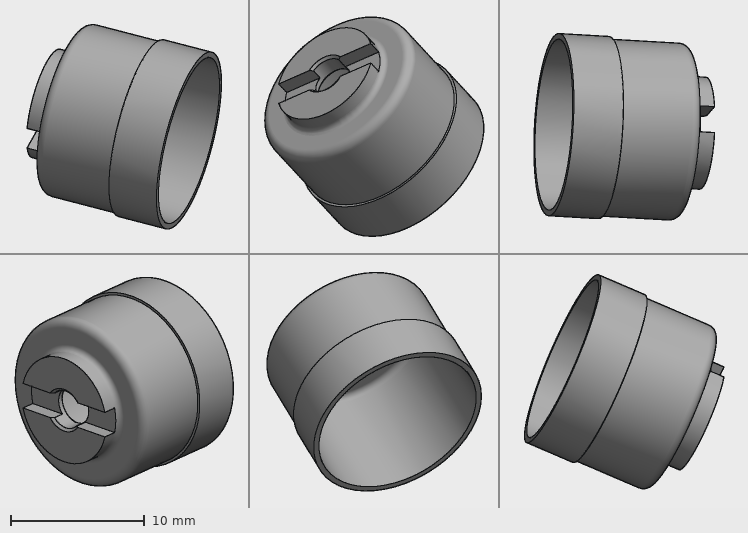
import cadquery as cq

total_length = 11.4
slot_depth = 1.1
body_start = 1.55
floor_position = 1.7
collar_length = 3.8

collar_radius = 6.83
body_radius = 6.63
boss_radius = 4.2
bore_radius = 1.5
cavity_radius = 6.4

body_round = 0.7
boss_fillet = body_start - slot_depth
slot_width = 2.0
bore_chamfer = 0.2

collar_start = total_length - collar_length
wall_thickness = body_radius - cavity_radius
cavity_round = body_round - wall_thickness


def axial_cylinder(radius, start, end):
    """Cylinder along X between two axial stations."""
    return cq.Workplane("YZ", origin=(start, 0, 0)).circle(radius).extrude(end - start)


def make_body():
    """Round-nosed body with a slightly larger collar at the +X end."""
    body = axial_cylinder(body_radius, body_start, total_length)
    body = body.faces("<X").edges().fillet(body_round)
    return body.union(axial_cylinder(collar_radius, collar_start, total_length))


def make_boss():
    """Boss on the -X end, blending into the body with a concave fillet."""
    return (
        cq.Workplane("XY")
        .lineTo(0, boss_radius)
        .lineTo(slot_depth, boss_radius)
        .radiusArc((body_start, boss_radius + boss_fillet), -boss_fillet)
        .lineTo(floor_position, boss_radius + boss_fillet)
        .lineTo(floor_position, 0)
        .close()
        .revolve(360, (0, 0, 0), (1, 0, 0))
    )


def make_slot():
    """Driver slot running along Y across the whole boss."""
    return cq.Workplane("XY").box(
        slot_depth, 2 * body_radius, slot_width, centered=(False, True, True)
    )


def make_cavity():
    """Round-cornered cavity open at the +X end, leaving a thin-walled cup."""
    cavity = axial_cylinder(cavity_radius, floor_position, total_length)
    return cavity.faces("<X").edges().fillet(cavity_round)


def make_bore():
    """Bore through the floor of the cup, chamfered at both ends."""
    mouth_radius = bore_radius + bore_chamfer
    return (
        cq.Workplane("XY")
        .lineTo(0, mouth_radius)
        .lineTo(bore_chamfer, bore_radius)
        .lineTo(floor_position - bore_chamfer, bore_radius)
        .lineTo(floor_position, mouth_radius)
        .lineTo(floor_position, 0)
        .close()
        .revolve(360, (0, 0, 0), (1, 0, 0))
    )


outer = make_body().union(make_boss())
result = outer.cut(make_cavity()).cut(make_slot()).cut(make_bore())